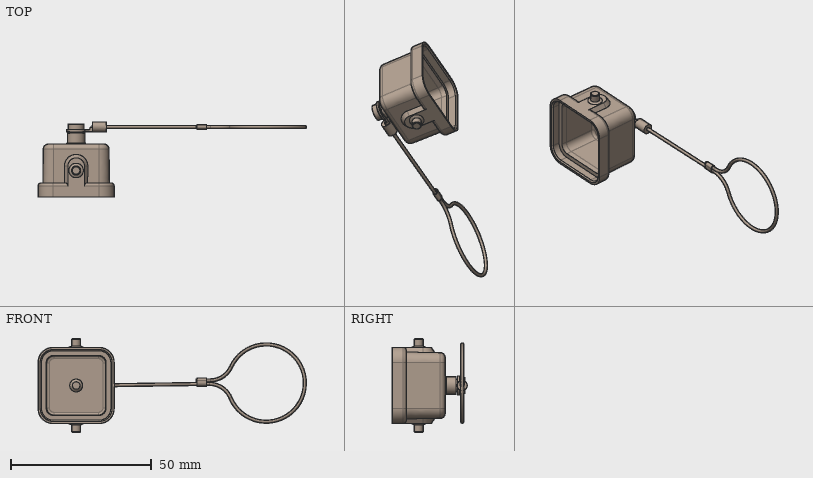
import cadquery as cq
import math


flange_half = 13.5
flange_height = 5.0
flange_edge_radius = 1.1
flange_corner_radius = 5.3
body_half = 11.9
body_corner_radius = 3.8
body_back = 18.85
body_edge_radius = 1.9
body_draft = 0.7

mouth_half = 12.3
mouth_corner_radius = 4.1
mouth_depth = 3.1
mouth_chamfer = 0.5
cavity_half = 10.5
cavity_corner_radius = 2.6
lead_in_step = 0.2
lead_in_length = 1.9
cavity_depth = 17.6
cavity_floor_radius = 0.95
rivet_base_radius = 2.3
rivet_top_radius = 1.3
rivet_height = 0.95

pin_span = 33.2
pin_tip = pin_span / 2
pin_y = 9.4
pin_radius = 1.6
pin_chamfer = 0.3
pin_collar_radius = 2.6
pin_collar_height = 0.5
boss_arc_y = 10.9
boss_base_radius = 4.4
boss_top_radius = 2.95
boss_root_z = 11.4
boss_start_y = 0.95

post_radius = 3.1
post_foot_radius = 3.5
post_foot_height = 0.4
post_end = 22.7
neck_radius = 2.3
eyelet_start = 23.1
eyelet_end = 23.9
eyelet_radius = 3.4
head_radius = 2.9
head_end = 25.9

sleeve_start = 5.7
sleeve_end = 10.8
sleeve_radius = 1.8
cable_y = 24.8
tongue_width = 2.9
tongue_bend_x = 4.7
tongue_lip_x = 5.0

cable_radius = 0.6
strand_gap = 1.2
ferrule_start = 42.9
ferrule_end = 46.3
ferrule_radius = 0.9
lower_strand_z = 0.6
upper_strand_z = lower_strand_z + strand_gap
tail_length = 0.5
overall_length = 95.2
loop_radius = 13.7
loop_x = overall_length - flange_half - cable_radius - loop_radius
loop_z = 0.9
neck_bend_radius = 8.1


def plane_at(y):
    """Work plane at depth y that extrudes toward +Y, with the local x axis along X."""
    return cq.Workplane(cq.Plane((0, y, 0), (1, 0, 0), (0, 1, 0)))


def rounded_block(half, corner_radius, y_start, y_end, draft=0):
    """Square prism with rounded corners along Y."""
    outline = cq.Sketch().rect(2 * half, 2 * half).vertices().fillet(corner_radius)
    return plane_at(y_start).placeSketch(outline).extrude(y_end - y_start, taper=draft)


def disc(radius, y_start, y_end):
    return plane_at(y_start).circle(radius).extrude(y_end - y_start)


def cone_y(start_radius, end_radius, y_start, y_end):
    return cq.Workplane(cq.Solid.makeCone(
        start_radius, end_radius, abs(y_end - y_start),
        cq.Vector(0, y_start, 0), cq.Vector(0, y_end - y_start, 0)))


def make_housing():
    flange = rounded_block(flange_half, flange_corner_radius, 0, flange_height)
    flange = flange.faces(">Y").edges().fillet(flange_edge_radius)
    body = rounded_block(body_half, body_corner_radius, 0, body_back, body_draft)
    body = body.faces(">Y").edges().fillet(body_edge_radius)
    return flange.union(body)


def make_interior():
    mouth = rounded_block(mouth_half, mouth_corner_radius, 0, mouth_depth)
    flare = rounded_block(
        mouth_half + mouth_chamfer, mouth_corner_radius + mouth_chamfer, 0, mouth_chamfer, draft=45)
    lead_in_angle = math.degrees(math.atan(lead_in_step / lead_in_length))
    lead_in = rounded_block(
        cavity_half + lead_in_step, cavity_corner_radius + lead_in_step,
        mouth_depth, mouth_depth + lead_in_length, lead_in_angle)
    cavity = rounded_block(cavity_half, cavity_corner_radius, 0, cavity_depth)
    cavity = cavity.faces(">Y").edges().fillet(cavity_floor_radius)
    return mouth.union(flare).union(lead_in).union(cavity)


def make_boss_and_pin():
    """Sloped U-shaped boss and locking pin on the +Z side."""
    boss_rise = flange_half - boss_root_z
    slope = math.degrees(math.atan((boss_base_radius - boss_top_radius) / boss_rise))
    boss = (
        cq.Workplane("XY", origin=(0, 0, boss_root_z))
        .moveTo(-boss_base_radius, boss_start_y)
        .lineTo(boss_base_radius, boss_start_y)
        .lineTo(boss_base_radius, boss_arc_y)
        .threePointArc((0, boss_arc_y + boss_base_radius), (-boss_base_radius, boss_arc_y))
        .close()
        .extrude(boss_rise, taper=slope)
    )
    collar = cq.Workplane(cq.Solid.makeCone(
        pin_collar_radius, pin_radius, pin_collar_height, cq.Vector(0, pin_y, flange_half)))
    pin = (
        cq.Workplane("XY", origin=(0, pin_y, body_half))
        .circle(pin_radius)
        .extrude(pin_tip - body_half)
        .faces(">Z").chamfer(pin_chamfer)
    )
    return boss.union(collar).union(pin)


def make_post():
    post = disc(post_radius, cavity_depth, post_end)
    foot = cone_y(post_foot_radius, post_radius, body_back, body_back + post_foot_height)
    neck = disc(neck_radius, post_end, eyelet_start)
    eyelet = disc(eyelet_radius, eyelet_start, eyelet_end)
    head = disc(head_radius, eyelet_end, head_end)
    return post.union(foot).union(neck).union(eyelet).union(head)


def make_sleeve():
    sleeve = (
        cq.Workplane("YZ", origin=(sleeve_start, cable_y, 0))
        .circle(sleeve_radius)
        .extrude(sleeve_end - sleeve_start)
    )
    tongue = (
        cq.Workplane("XY", origin=(0, 0, -tongue_width / 2))
        .polyline([
            (0, eyelet_start),
            (sleeve_start, eyelet_start),
            (sleeve_start, cable_y),
            (tongue_lip_x, cable_y),
            (tongue_bend_x, eyelet_end),
            (0, eyelet_end),
        ])
        .close()
        .extrude(tongue_width)
    )
    return sleeve.union(tongue)


def make_straight_cable():
    """Cable from inside the sleeve to the far end of the ferrule, rising slightly."""
    start = cq.Vector(sleeve_start, cable_y, 0)
    run = cq.Vector(ferrule_end, cable_y, lower_strand_z) - start
    return cq.Workplane(cq.Solid.makeCylinder(cable_radius, run.Length, start, run))


def neck_bend(strand_z, side):
    """Start, middle and end of the bend from a strand into the loop; side is +1 above, -1 below."""
    centre_z = strand_z + side * neck_bend_radius
    reach = loop_radius + neck_bend_radius
    rise = centre_z - loop_z
    centre_x = loop_x - math.sqrt(reach ** 2 - rise ** 2)
    end_angle = math.atan2(loop_x - centre_x, abs(rise))

    def point_at(angle):
        return (
            centre_x + neck_bend_radius * math.sin(angle),
            centre_z - side * neck_bend_radius * math.cos(angle),
        )

    return point_at(0), point_at(end_angle / 2), point_at(end_angle)


def make_loop():
    upper_start, upper_mid, upper_end = neck_bend(upper_strand_z, 1)
    lower_start, lower_mid, lower_end = neck_bend(lower_strand_z, -1)
    tail_x = ferrule_start - tail_length
    path = (
        cq.Workplane(cq.Plane((0, cable_y, 0), (1, 0, 0), (0, -1, 0)))
        .moveTo(tail_x, upper_strand_z)
        .lineTo(*upper_start)
        .threePointArc(upper_mid, upper_end)
        .threePointArc((loop_x + loop_radius, loop_z), lower_end)
        .threePointArc(lower_mid, lower_start)
        .lineTo(ferrule_start, lower_strand_z)
    )
    section = cq.Workplane("YZ", origin=(tail_x, cable_y, upper_strand_z)).circle(cable_radius)
    return section.sweep(path)


def make_ferrule():
    middle_z = (lower_strand_z + upper_strand_z) / 2
    return (
        cq.Workplane("YZ", origin=(ferrule_start, cable_y, middle_z))
        .slot2D(strand_gap + 2 * ferrule_radius, 2 * ferrule_radius, 90)
        .extrude(ferrule_end - ferrule_start)
    )


boss_and_pin = make_boss_and_pin()
cap = make_housing().union(boss_and_pin).union(boss_and_pin.mirror("XY"))
cap = cap.cut(make_interior())
rivet = cone_y(rivet_base_radius, rivet_top_radius, cavity_depth, cavity_depth - rivet_height)
cap = cap.union(rivet).union(make_post())

tether = make_sleeve().union(make_straight_cable()).union(make_ferrule()).union(make_loop())
result = cap.union(tether)